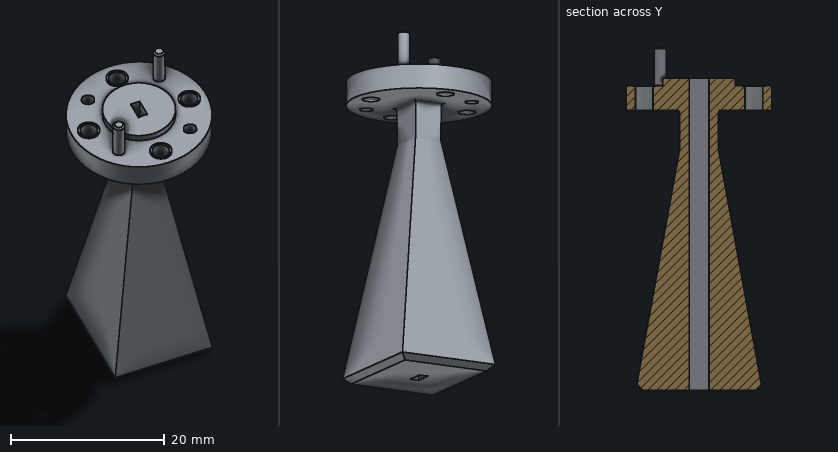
import cadquery as cq

overall_height = 44.78
pin_projection = 5.0
boss_height = 0.95
flange_thickness = 3.25
flange_top = overall_height - pin_projection
flange_bottom = flange_top - flange_thickness
neck_length = 5.0
neck_bottom = flange_bottom - neck_length
rim_height = 0.8

flange_diameter = 19.05
boss_diameter = flange_diameter / 2
flange_hole_radius = 7.145

screw_hole_diameter = 2.26
counterbore_diameter = 2.86
counterbore_depth = 0.1
pin_diameter = 1.588
pin_chamfer = 0.25
dowel_hole_diameter = 1.7

guide_x = 2.54
guide_y = guide_x / 2
neck_x = 5.08
neck_y = 3.81
neck_fillet = 0.4
horn_x = 16.3
horn_y = 13.85
rim_inset = rim_height

screw_angles = (0, 90, 180, 270)
pin_angles = (135, 315)
dowel_hole_angles = (45, 225)


def disc(diameter, bottom, top):
    return cq.Workplane("XY").workplane(offset=bottom).circle(diameter / 2).extrude(top - bottom)


def block(size_x, size_y, bottom, top):
    return cq.Workplane("XY").workplane(offset=bottom).rect(size_x, size_y).extrude(top - bottom)


def frustum(bottom_size, top_size, bottom, top):
    """Rectangular frustum between two centred rectangles."""
    return (
        cq.Workplane("XY")
        .workplane(offset=bottom)
        .rect(*bottom_size)
        .workplane(offset=top - bottom)
        .rect(*top_size)
        .loft(ruled=True)
    )


def place_on_circle(shape, angle):
    """Move a shape from the flange axis to the hole circle at the given angle."""
    return shape.translate((flange_hole_radius, 0, 0)).rotate((0, 0, 0), (0, 0, 1), angle)


def make_horn():
    """Horn with a bevelled mouth rim, flaring out from the waveguide neck."""
    mouth_size = (horn_x - 2 * rim_inset, horn_y - 2 * rim_inset)
    horn_size = (horn_x, horn_y)
    neck_size = (neck_x, neck_y)
    rim = frustum(mouth_size, horn_size, 0, rim_height)
    flare = frustum(horn_size, neck_size, rim_height, neck_bottom)
    return rim.union(flare)


def make_flange():
    """Flange plate with its boss, filleted onto the rectangular neck below."""
    plate = disc(flange_diameter, flange_bottom, flange_top)
    boss = disc(boss_diameter, flange_top, flange_top + boss_height)
    neck = block(neck_x, neck_y, neck_bottom, flange_bottom)
    joint = cq.selectors.BoxSelector(
        (-neck_x, -neck_y, flange_bottom - neck_fillet),
        (neck_x, neck_y, flange_bottom + neck_fillet),
    )
    return plate.union(neck).edges("#Z").edges(joint).edges("%LINE").fillet(neck_fillet).union(boss)


def make_screw_hole():
    """Through hole with a shallow counterbore on the upper face."""
    bore = disc(screw_hole_diameter, flange_bottom, flange_top)
    counterbore = disc(counterbore_diameter, flange_top - counterbore_depth, flange_top)
    return bore.union(counterbore)


def make_pin():
    """Dowel pin seated through the flange, with a chamfered tip."""
    pin = disc(pin_diameter, flange_bottom, overall_height)
    return pin.faces(">Z").chamfer(pin_chamfer)


flange = make_flange()
for angle in screw_angles:
    flange = flange.cut(place_on_circle(make_screw_hole(), angle))
for angle in dowel_hole_angles:
    dowel_hole = disc(dowel_hole_diameter, flange_bottom, flange_top)
    flange = flange.cut(place_on_circle(dowel_hole, angle))
for angle in pin_angles:
    flange = flange.union(place_on_circle(make_pin(), angle))

guide = block(guide_x, guide_y, 0, flange_top + boss_height)
result = make_horn().union(flange).cut(guide)